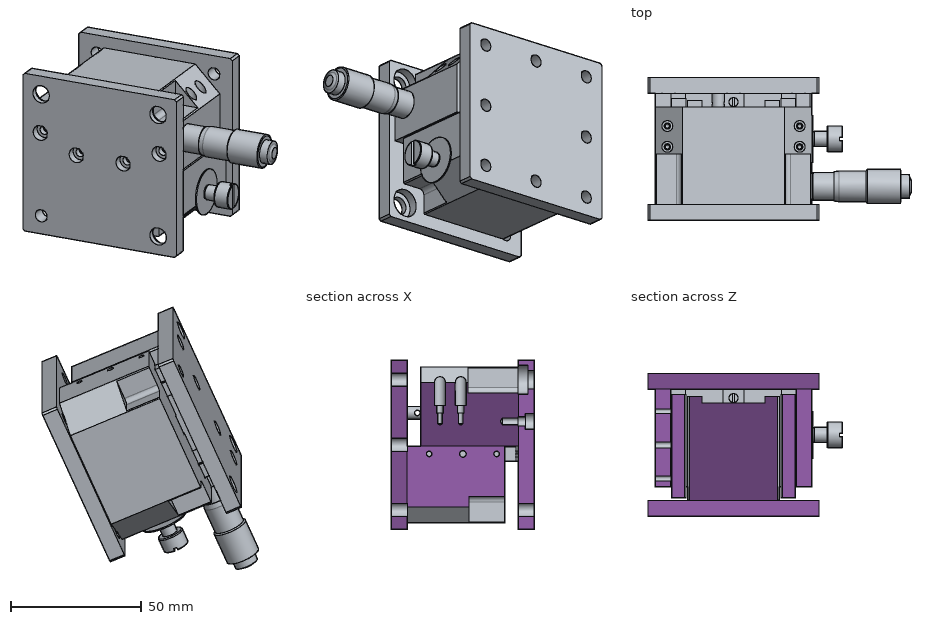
import cadquery as cq
import math


plate_width = 65.7
plate_height = 65.0
stage_depth = 55.0
plate_thickness = 6.2
plate_corner_chamfer = 0.8
travel_gap = 5.2
back_plate_inner_y = stage_depth - plate_thickness
block_depth = back_plate_inner_y - plate_thickness - travel_gap

block_half_width = 30.1
block_outer_z = 30.0
parting_z = -0.5
corner_chamfer = 10.5
parting_edge_chamfer = 0.7
notch_offset = 19.9
notch_fillet = 2.0
upper_notch_depth = 19.2
lower_notch_depth = 13.7
upper_back_y = plate_thickness + block_depth
lower_front_y = plate_thickness + travel_gap

corner_hole_offset = 25.0
front_corner_hole_diameter = 7.0
front_corner_counterbore_diameter = 11.0
front_corner_counterbore_depth = 3.7
plate_hole_diameter = 5.0

plate_screw_places = [(-25.4, 9.0), (25.4, 9.0), (-10.0, 2.4), (10.0, 2.4)]
plate_counterbore_diameter = 6.0
plate_counterbore_depth = 3.4
plate_clearance_diameter = 3.4
plate_tapped_diameter = 2.5
plate_tapped_depth = 6.1

block_screw_x = 25.4
block_screw_ys = (28.2, 36.2)
block_counterbore_diameter = 4.2
block_counterbore_floor_z = 15.2
block_clearance_diameter = 2.4
block_clearance_depth = 3.0
block_tapped_diameter = 1.6
block_tapped_depth = 4.0
drill_tip_angle = 118

rail_width = 5.6
rail_height = 5.4
rail_recess = 0.3
rail_top_z = parting_z - rail_recess
rail_bottom_z = rail_top_z - rail_height
rail_middle_z = (rail_top_z + rail_bottom_z) / 2
rail_length = 39.8
lower_rail_front_y = 7.1
upper_rail_back_y = 46.1
upper_rail_inner_x = 12.0
tongue_overhang = 0.2
tongue_bottom_z = rail_bottom_z - tongue_overhang
upper_rail_outer_x = upper_rail_inner_x + rail_width
v_groove_width = 2.2
v_groove_depth = v_groove_width / 2
rail_seat_inner_x = 18.4
rail_seat_outer_x = 24.1
lower_rail_outer_x = 23.8
channel_depth_below_rails = 0.5
channel_floor_z = rail_bottom_z - channel_depth_below_rails

center_slot_width = 8.1
center_slot_depth = 2.0
stud_diameter = 3.4
stud_height = 1.5
stud_y = 45.5
stud_slot_width = 0.8
stud_slot_depth = 0.8

preload_middle_y = 27.4
preload_pitch = 13.0
preload_end_diameter = 2.0
preload_middle_diameter = 2.4

post_diameter = 5.0
post_x = -5.9
post_z = 12.3
post_recess_depth = 2.0
post_hole_diameter = 2.0
post_hole_distance = 1.3
post_hole_y = upper_back_y + post_hole_distance

knob_y = 31.3
knob_z = -16.6
knob_slot_width = 1.2
knob_slot_depth = 1.1
knob_profile = [
    (0, 18.0), (0.5, 18.0), (0.5, 5.5), (1.1, 6.0), (5.8, 6.0),
    (5.8, 9.5), (6.3, 10.0), (11.5, 10.0), (11.8, 9.5),
]

micrometer_y = 13.1
micrometer_z = 12.2
overall_length = 101.2
micrometer_tip_x = overall_length - plate_width / 2
micrometer_profile = [
    (block_half_width, 9.5), (30.6, 9.5), (30.6, 10.8), (38.6, 10.8), (38.6, 11.3),
    (40.6, 11.9), (50.9, 11.9), (51.4, 13.3), (64.1, 13.3), (64.3, 12.2), (64.3, 9.2),
    (67.5, 9.2), (67.7, 7.1), (micrometer_tip_x, 4.5),
]


def box(x_range, y_range, z_range):
    """Box between two limits on each axis."""
    size = [limits[1] - limits[0] for limits in (x_range, y_range, z_range)]
    corner = (x_range[0], y_range[0], z_range[0])
    return cq.Workplane("XY").box(*size, centered=False).translate(corner)


def cylinder(start, direction, diameter, length):
    """Cylinder that starts at a point and runs along a direction."""
    solid = cq.Solid.makeCylinder(diameter / 2, length, cq.Vector(*start), cq.Vector(*direction))
    return cq.Workplane(solid)


def drilled_hole(start, direction, diameter, depth):
    """Cutter of a blind hole with a conical drill tip below its full depth."""
    radius = diameter / 2
    tip_length = radius / math.tan(math.radians(drill_tip_angle / 2))
    axis = cq.Vector(*direction)
    tip_start = cq.Vector(*start) + axis * depth
    tip = cq.Solid.makeCone(radius, 0, tip_length, tip_start, axis)
    return cylinder(start, direction, diameter, depth).union(cq.Workplane(tip))


def turned(profile, x_start, y, z):
    """Solid turned about an X axis from (X, diameter) points, closed along the axis."""
    edge = [(x, diameter / 2) for x, diameter in profile]
    points = [(edge[0][0], 0), *edge, (edge[-1][0], 0)]
    outline = cq.Workplane("XY").polyline(points).close()
    return outline.revolve(360, (0, 0, 0), (1, 0, 0)).translate((x_start, y, z))


def plate(front_y):
    """Plain rectangular plate with small chamfers on its four corner edges."""
    y_range = (front_y, front_y + plate_thickness)
    x_range = (-plate_width / 2, plate_width / 2)
    z_range = (-plate_height / 2, plate_height / 2)
    return box(x_range, y_range, z_range).edges("|Y").chamfer(plate_corner_chamfer)


def inner_counterbore(x, z):
    """Cutter of a counterbore in the inner face of the front plate."""
    start = (x, plate_thickness, z)
    depth = front_corner_counterbore_depth
    return cylinder(start, (0, -1, 0), front_corner_counterbore_diameter, depth)


def make_front_plate():
    """Plate with three counterbored corner holes, one plain one and four screw holes."""
    body = plate(0)
    for x_side in (-1, 1):
        for z_side in (-1, 1):
            small = x_side < 0 and z_side < 0
            diameter = plate_hole_diameter if small else front_corner_hole_diameter
            start = (x_side * corner_hole_offset, 0, z_side * corner_hole_offset)
            body = body.cut(cylinder(start, (0, 1, 0), diameter, plate_thickness))
            if not small:
                body = body.cut(inner_counterbore(start[0], start[2]))
    for x, z in plate_screw_places:
        start = (x, 0, z)
        body = body.cut(cylinder(start, (0, 1, 0), plate_counterbore_diameter, plate_counterbore_depth))
        body = body.cut(cylinder(start, (0, 1, 0), plate_clearance_diameter, plate_thickness))
    return body


def make_back_plate():
    """Plate with holes around its edge and the cross-drilled spring post."""
    body = plate(back_plate_inner_y)
    steps = (-1, 0, 1)
    for x_step in steps:
        for z_step in steps:
            if x_step == 0 and z_step == 0:
                continue
            start = (x_step * corner_hole_offset, back_plate_inner_y, z_step * corner_hole_offset)
            body = body.cut(cylinder(start, (0, 1, 0), plate_hole_diameter, plate_thickness))
    post_tip = (post_x, upper_back_y - post_recess_depth, post_z)
    post = cylinder(post_tip, (0, 1, 0), post_diameter, travel_gap + post_recess_depth)
    hole_start = (post_x - post_diameter, post_hole_y, post_z)
    hole = cylinder(hole_start, (1, 0, 0), post_hole_diameter, 2 * post_diameter)
    return body.union(post.cut(hole))


def block_blank(front_y, z_side, chamfered_side):
    """Block on one side of the parting plane, with two large outer chamfers.

    The edge at the parting plane on chamfered_side has a small chamfer.
    """
    outer_z = z_side * block_outer_z
    side_z = outer_z - z_side * corner_chamfer
    top_x = block_half_width - corner_chamfer
    edge_z = parting_z + z_side * parting_edge_chamfer
    edge_x = chamfered_side * (block_half_width - parting_edge_chamfer)
    side_x = chamfered_side * block_half_width
    points = [
        (-side_x, parting_z), (edge_x, parting_z), (side_x, edge_z), (side_x, side_z),
        (chamfered_side * top_x, outer_z), (-chamfered_side * top_x, outer_z), (-side_x, side_z),
    ]
    outline = cq.Workplane("XZ", origin=(0, front_y, 0)).polyline(points).close()
    return outline.extrude(-block_depth)


def corner_notch(x_side, z_side, front_y, depth):
    """Cutter of a notch in a chamfered corner, with a rounded inner corner."""
    x_range = sorted((x_side * notch_offset, x_side * 2 * notch_offset))
    z_range = sorted((z_side * notch_offset, z_side * 2 * notch_offset))
    notch = box(x_range, (front_y, front_y + depth), z_range)
    x_pick = "<X" if x_side > 0 else ">X"
    z_pick = "<Z" if z_side > 0 else ">Z"
    return notch.faces(x_pick).edges(z_pick).fillet(notch_fillet)


def rail(x_range, front_y, groove_side):
    """Guide rail along Y with a V-groove in the side that faces groove_side."""
    bar = box(x_range, (front_y, front_y + rail_length), (rail_bottom_z, rail_top_z))
    face_x = x_range[1] if groove_side > 0 else x_range[0]
    groove = [
        (face_x, rail_middle_z - v_groove_width / 2),
        (face_x - groove_side * v_groove_depth, rail_middle_z),
        (face_x, rail_middle_z + v_groove_width / 2),
    ]
    outline = cq.Workplane("XZ", origin=(0, front_y, 0)).polyline(groove).close()
    return bar.cut(outline.extrude(-rail_length))


def block_screw_hole(x, y):
    """Cutter of a counterbored vertical hole with a tapped end."""
    down = (0, 0, -1)
    counterbore_depth = block_outer_z - block_counterbore_floor_z
    clearance_end_z = block_counterbore_floor_z - block_clearance_depth
    counterbore = cylinder((x, y, block_outer_z), down, block_counterbore_diameter, counterbore_depth)
    clearance_start = (x, y, block_counterbore_floor_z)
    clearance = cylinder(clearance_start, down, block_clearance_diameter, block_clearance_depth)
    tapped = drilled_hole((x, y, clearance_end_z), down, block_tapped_diameter, block_tapped_depth)
    return counterbore.union(clearance).union(tapped)


def make_upper_block():
    """Block behind the front plate, with a tongue that carries the inner rails."""
    body = block_blank(plate_thickness, 1, -1)
    tongue_x = (-upper_rail_inner_x, upper_rail_inner_x)
    body = body.union(box(tongue_x, (plate_thickness, upper_back_y), (tongue_bottom_z, parting_z)))
    for side in (-1, 1):
        x_range = sorted((side * upper_rail_inner_x, side * upper_rail_outer_x))
        front_y = upper_rail_back_y - rail_length
        seat = box(x_range, (plate_thickness, upper_back_y), (rail_top_z, parting_z))
        body = body.union(seat).union(rail(x_range, front_y, side))
        body = body.cut(corner_notch(side, 1, plate_thickness, upper_notch_depth))
        for y in block_screw_ys:
            body = body.cut(block_screw_hole(side * block_screw_x, y))
    for x, z in plate_screw_places:
        start = (x, plate_thickness, z)
        body = body.cut(drilled_hole(start, (0, 1, 0), plate_tapped_diameter, plate_tapped_depth))
    recess_start = (post_x, upper_back_y - post_recess_depth, post_z)
    return body.cut(cylinder(recess_start, (0, 1, 0), post_diameter, post_recess_depth))


def make_lower_block():
    """Block in front of the back plate, with the outer rails and the clamp knob."""
    y_range = (lower_front_y, back_plate_inner_y)
    body = block_blank(lower_front_y, -1, 1)
    seat_x = (-rail_seat_outer_x, rail_seat_outer_x)
    channel_x = (-rail_seat_inner_x, rail_seat_inner_x)
    center_x = (-center_slot_width / 2, center_slot_width / 2)
    slot_floor_z = channel_floor_z - center_slot_depth
    body = body.cut(box(seat_x, y_range, (rail_bottom_z, parting_z)))
    body = body.cut(box(channel_x, y_range, (channel_floor_z, parting_z)))
    body = body.cut(box(center_x, y_range, (slot_floor_z, parting_z)))
    for side in (-1, 1):
        x_range = sorted((side * (lower_rail_outer_x - rail_width), side * lower_rail_outer_x))
        body = body.union(rail(x_range, lower_rail_front_y, -side))
        body = body.cut(corner_notch(side, -1, lower_front_y, lower_notch_depth))
    for step in (-1, 0, 1):
        diameter = preload_end_diameter if step else preload_middle_diameter
        start = (-block_half_width, preload_middle_y + step * preload_pitch, rail_middle_z)
        wall = block_half_width - rail_seat_outer_x
        body = body.cut(cylinder(start, (1, 0, 0), diameter, wall))
    return body.union(slotted_stud(slot_floor_z)).union(clamp_knob())


def slotted_stud(floor_z):
    """Short stud on the slot floor, with a slot along Y in its top."""
    stud = cylinder((0, stud_y, floor_z), (0, 0, 1), stud_diameter, stud_height)
    top_z = floor_z + stud_height
    slot_x = (-stud_slot_width / 2, stud_slot_width / 2)
    slot_y = (stud_y - stud_diameter, stud_y + stud_diameter)
    return stud.cut(box(slot_x, slot_y, (top_z - stud_slot_depth, top_z)))


def clamp_knob():
    """Thumb screw with a flange and a screwdriver slot across its head."""
    knob = turned(knob_profile, block_half_width, knob_y, knob_z)
    tip_x = block_half_width + knob_profile[-1][0]
    head_diameter = max(diameter for _, diameter in knob_profile)
    slot_y = (knob_y - knob_slot_width / 2, knob_y + knob_slot_width / 2)
    slot_z = (knob_z - head_diameter, knob_z + head_diameter)
    return knob.cut(box((tip_x - knob_slot_depth, tip_x), slot_y, slot_z))


def make_micrometer():
    """Stepped micrometer head seated on the +X face of the upper block."""
    return turned(micrometer_profile, 0, micrometer_y, micrometer_z)


front_plate = make_front_plate()
back_plate = make_back_plate()
upper_block = make_upper_block()
lower_block = make_lower_block()
micrometer = make_micrometer()

result = cq.Compound.makeCompound([
    front_plate.solids().val(),
    back_plate.solids().val(),
    upper_block.solids().val(),
    lower_block.solids().val(),
    micrometer.solids().val(),
])